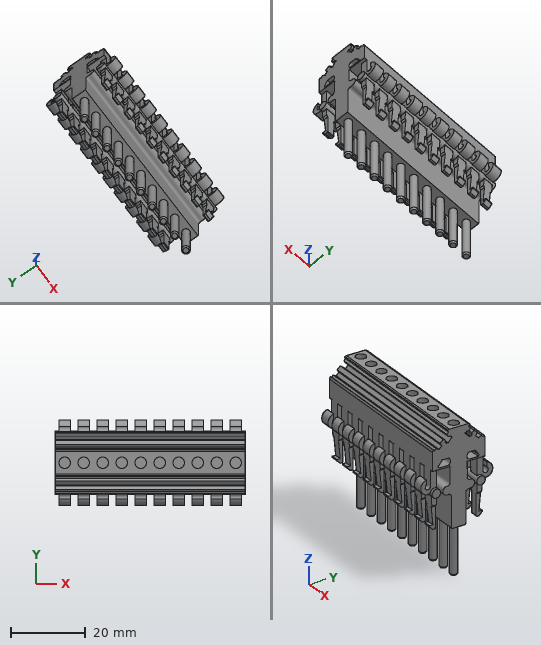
import cadquery as cq
import math


length = 51.0
overall_depth = 23.0
overall_height = 45.8

contact_count = 10
pitch = length / contact_count

head_half_depth = 8.4
head_bottom = -11.3
neck_half_depth = 2.75
stem_half_depth = 2.35
housing_bottom = -30.3
stem_fillet = 0.85
foot_chamfer_height = 0.65
foot_chamfer_depth = 0.2

pivot_height = -18.35
pivot_diameter = 2.7
pivot_radius = pivot_diameter / 2
lobe_center = 3.7
rod_center = 7.15

window_top = -8.65
window_bottom = -10.8
window_inner = 2.7
window_outer = 6.5
window_shoulder = 5.25
window_corner_height = -10.3
window_lip = 6.25
window_fillet = 0.8

entry_diameter = 3.05
entry_depth = 10.2

lever_width = 3.15
blade_width = 2.3
lever_inner = 6.5
shoulder_top = -22.3
shoulder_bottom = -22.8
kink_depth = 8.05
kink_height = -21.1
blade_tip_depth = 7.35
blade_root_depth = 8.2
barb_top = -28.3
barb_edge = -28.65
lever_bottom = -29.75
lever_toe = 0.25

hook_inner_radius = 0.8
hook_center = head_half_depth + hook_inner_radius
hook_height = -16.15
hook_outer_radius = overall_depth / 2 - hook_center
hook_tip_depth = 9.7

pin_diameter = 2.35
pin_tip_diameter = 1.6
pin_tip_height = 0.5
pin_bottom = -overall_height


def extrude_along_row(profile, width):
    """Extrude a YZ profile by width, centred on X = 0."""
    return profile.extrude(width / 2, both=True)


def both_sides(half):
    """Add the mirror image of a half on the other side of Y = 0."""
    return half.union(half.mirror("XZ"))


def point_on_circle(center, height, radius, degrees):
    """Point on a circle in the YZ plane, at an angle from +Y."""
    angle = math.radians(degrees)
    return (center + radius * math.cos(angle), height + radius * math.sin(angle))


def housing_half():
    """Half section: ribbed head, neck, round lobe and stem."""
    ribbed_edge = [
        (3.0, 0),
        (3.45, -0.15),
        (3.6, -0.45),
        (3.25, -0.8),
        (3.8, -1.4),
        (3.25, -2.2),
        (2.6, -2.2),
        (2.15, -2.6),
        (3.4, -4.05),
        (3.9, -4.05),
        (4.2, -3.7),
        (4.2, -3.05),
        (4.95, -2.55),
        (5.95, -3.45),
        (5.4, -4.35),
        (6.25, -5.2),
        (7.2, -4.7),
        (7.7, -5.2),
        (8.1, -4.9),
        (head_half_depth, -5.5),
    ]
    lobe_top = pivot_height + pivot_radius
    lobe_bottom = pivot_height - pivot_radius
    corner = stem_fillet * (1 - math.sqrt(0.5))
    profile = (
        cq.Workplane("YZ")
        .polyline([(0, 0)] + ribbed_edge)
        .lineTo(head_half_depth, head_bottom)
        .lineTo(neck_half_depth, head_bottom)
        .lineTo(neck_half_depth, lobe_top + stem_fillet)
        .threePointArc(
            (neck_half_depth + corner, lobe_top + corner),
            (neck_half_depth + stem_fillet, lobe_top),
        )
        .lineTo(lobe_center, lobe_top)
        .threePointArc((lobe_center + pivot_radius, pivot_height), (lobe_center, lobe_bottom))
        .lineTo(stem_half_depth + stem_fillet, lobe_bottom)
        .threePointArc(
            (stem_half_depth + corner, lobe_bottom - corner),
            (stem_half_depth, lobe_bottom - stem_fillet),
        )
        .lineTo(stem_half_depth, housing_bottom + foot_chamfer_height)
        .lineTo(stem_half_depth - foot_chamfer_depth, housing_bottom)
        .lineTo(0, housing_bottom)
        .close()
    )
    return extrude_along_row(profile, length)


def window():
    """Opening through the head, rounded towards the neck and sloped outwards."""
    profile = cq.Workplane("YZ").polyline([
        (window_inner, window_top),
        (window_shoulder, window_top),
        (window_outer, window_corner_height),
        (window_lip, window_bottom),
        (window_inner, window_bottom),
    ]).close()
    return extrude_along_row(profile, length).edges("|X and <Y").fillet(window_fillet)


def pivot_rod():
    """Round rod that joins all levers of one side."""
    profile = cq.Workplane("YZ").center(rod_center, pivot_height).circle(pivot_radius)
    return extrude_along_row(profile, length)


def lever_side_profile():
    """Side shape of a lever: arm, hook, tapered blade and barb."""
    tip_rise = math.sqrt(hook_outer_radius**2 - (hook_tip_depth - hook_center) ** 2)
    throat_rise = math.sqrt(hook_inner_radius**2 - (hook_tip_depth - hook_center) ** 2)
    hook_bottom = hook_height - hook_outer_radius
    return (
        cq.Workplane("YZ")
        .moveTo(lever_inner, head_bottom)
        .lineTo(head_half_depth, head_bottom)
        .lineTo(head_half_depth, hook_height)
        .threePointArc(
            point_on_circle(hook_center, hook_height, hook_inner_radius, -60),
            (hook_tip_depth, hook_height + throat_rise),
        )
        .lineTo(hook_tip_depth, hook_height + tip_rise)
        .threePointArc(
            point_on_circle(hook_center, hook_height, hook_outer_radius, 0),
            (hook_center, hook_bottom),
        )
        .lineTo(blade_root_depth, hook_bottom)
        .lineTo(kink_depth, kink_height)
        .lineTo(blade_tip_depth, barb_top)
        .lineTo(head_half_depth, barb_top)
        .lineTo(head_half_depth, barb_edge)
        .lineTo(blade_tip_depth, lever_bottom)
        .lineTo(lever_inner + lever_toe, lever_bottom)
        .lineTo(lever_inner, lever_bottom + lever_toe)
        .close()
    )


def lever(x):
    """One lever, narrowed by sloped shoulders below the pivot."""
    body = extrude_along_row(lever_side_profile(), lever_width)
    front_outline = cq.Workplane("XZ").polyline([
        (-lever_width / 2, head_bottom),
        (lever_width / 2, head_bottom),
        (lever_width / 2, shoulder_top),
        (blade_width / 2, shoulder_bottom),
        (blade_width / 2, lever_bottom),
        (-blade_width / 2, lever_bottom),
        (-blade_width / 2, shoulder_bottom),
        (-lever_width / 2, shoulder_top),
    ]).close().extrude(overall_depth, both=True)
    return body.intersect(front_outline).translate((x, 0, 0))


def pin(x):
    """Round contact pin with a tapered tip."""
    shank_bottom = pin_bottom + pin_tip_height
    profile = cq.Workplane("XZ").polyline([
        (0, housing_bottom),
        (pin_diameter / 2, housing_bottom),
        (pin_diameter / 2, shank_bottom),
        (pin_tip_diameter / 2, pin_bottom),
        (0, pin_bottom),
    ]).close()
    return profile.revolve(360, (0, 0, 0), (0, 1, 0)).translate((x, 0, 0))


def wire_entry(x):
    """Blind hole from the top face."""
    return cq.Workplane("XY").center(x, 0).circle(entry_diameter / 2).extrude(-entry_depth)


contact_positions = [(i + 0.5) * pitch - length / 2 for i in range(contact_count)]

half = housing_half().cut(window()).union(pivot_rod())
for position in contact_positions:
    half = half.union(lever(position))

result = both_sides(half)
for position in contact_positions:
    result = result.union(pin(position)).cut(wire_entry(position))